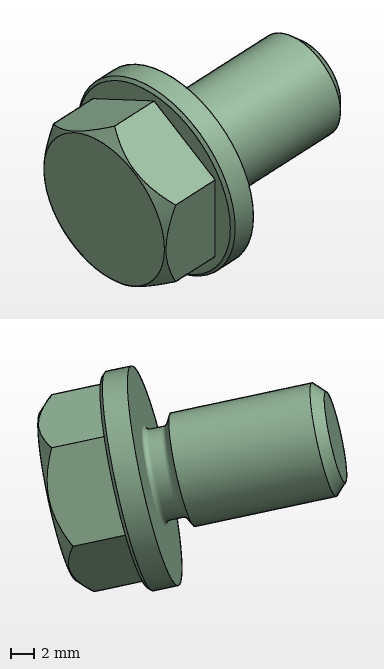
import cadquery as cq
import math

total_length = 24.5
head_height = 6.0
across_flats = 15.0
head_face_diameter = 14.8
head_chamfer_angle = 45.0
envelope_clearance = 0.25

flange_diameter = 19.3
flange_thickness = 2.5
flange_chamfer = 0.3

shank_diameter = 10.0
tip_chamfer = 1.0

neck_diameter = 8.0
neck_length = 2.5
neck_runout_angle = 60.0
neck_fillet = 0.5

flange_start = head_height
flange_end = flange_start + flange_thickness
shank_start = flange_end + neck_length

across_corners = across_flats / math.cos(math.radians(30))
face_radius = head_face_diameter / 2
flange_radius = flange_diameter / 2
shank_radius = shank_diameter / 2
neck_radius = neck_diameter / 2


def revolve_about_axis(profile):
    """Revolve a closed (radius, axial position) profile about the bolt axis."""
    return profile.close().revolve(360, (0, 0, 0), (0, 1, 0))


def make_hex_head():
    """Hexagonal prism with flats facing +/-X and conically chamfered outer corners."""
    prism = (
        cq.Workplane("XZ")
        .polygon(6, across_corners)
        .extrude(-head_height)
        .rotate((0, 0, 0), (0, 1, 0), 30)
    )
    outer_radius = across_corners / 2 + envelope_clearance
    cone_height = (outer_radius - face_radius) * math.tan(math.radians(head_chamfer_angle))
    envelope = revolve_about_axis(
        cq.Workplane("XY")
        .moveTo(0, 0)
        .lineTo(face_radius, 0)
        .lineTo(outer_radius, cone_height)
        .lineTo(outer_radius, head_height)
        .lineTo(0, head_height)
    )
    return prism.intersect(envelope)


def make_flange_and_shank():
    """Flange, filleted neck and shank as one turned profile."""
    runout = math.radians(neck_runout_angle)
    runout_length = (shank_radius - neck_radius) / math.tan(runout)
    runout_start = shank_start - runout_length
    tangent_length = neck_fillet * math.tan(runout / 2)
    fillet_centre = (neck_radius + neck_fillet, runout_start - tangent_length)

    def runout_fillet_point(angle):
        return (
            fillet_centre[0] - neck_fillet * math.cos(angle),
            fillet_centre[1] + neck_fillet * math.sin(angle),
        )

    flange_fillet_middle = neck_fillet * (1 - math.cos(math.radians(45)))
    return revolve_about_axis(
        cq.Workplane("XY")
        .moveTo(0, flange_start)
        .lineTo(flange_radius - flange_chamfer, flange_start)
        .lineTo(flange_radius, flange_start + flange_chamfer)
        .lineTo(flange_radius, flange_end)
        .lineTo(neck_radius + neck_fillet, flange_end)
        .threePointArc(
            (neck_radius + flange_fillet_middle, flange_end + flange_fillet_middle),
            (neck_radius, flange_end + neck_fillet),
        )
        .lineTo(*runout_fillet_point(0))
        .threePointArc(runout_fillet_point(runout / 2), runout_fillet_point(runout))
        .lineTo(shank_radius, shank_start)
        .lineTo(shank_radius, total_length - tip_chamfer)
        .lineTo(shank_radius - tip_chamfer, total_length)
        .lineTo(0, total_length)
    )


result = make_hex_head().union(make_flange_and_shank())